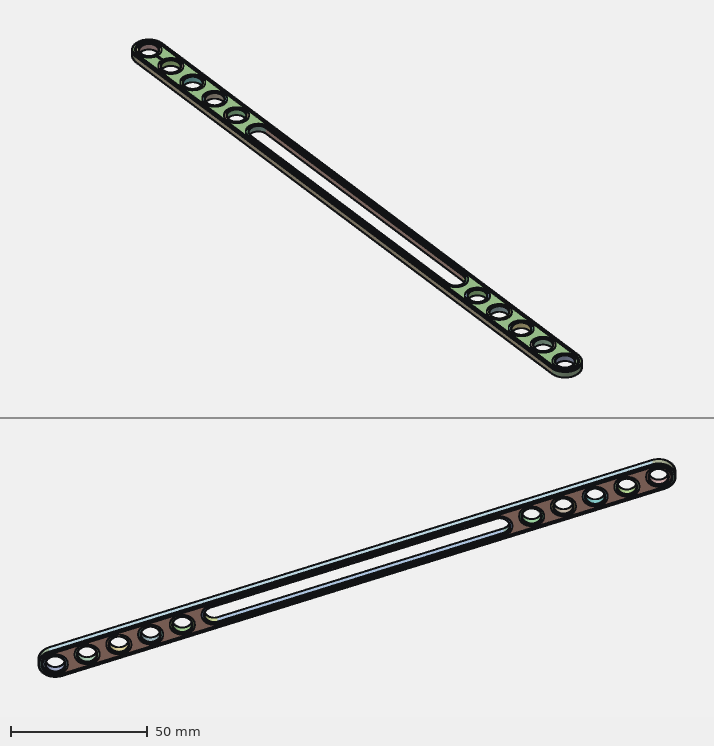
import cadquery as cq

length = 250.0
width = 12.5
thickness = width / 4
edge_chamfer = 0.3

hole_diameter = 7.0
ring_diameter = 9.2
hole_pitch = width
holes_per_end = 5
outer_hole_x = (length - width) / 2

slot_end_x = outer_hole_x - holes_per_end * hole_pitch

border_width = 1.1
recess_depth = 0.2

groove_width = 0.5
groove_depth = 0.12
groove_length = hole_pitch - ring_diameter

hole_centres = [
    (side * (outer_hole_x - index * hole_pitch), 0)
    for side in (-1, 1)
    for index in range(holes_per_end)
]


def round_ended_plate(end_centre_x, plate_width, height):
    """Round-ended plate about the origin, its ends centred at plus and minus end_centre_x."""
    outline = cq.Workplane("XY").slot2D(2 * end_centre_x + plate_width, plate_width)
    return outline.extrude(height / 2, both=True)


def opening_solids(opening_width):
    """Full-height discs on all hole centres together with the central slot, all equally wide."""
    discs = cq.Workplane("XY").pushPoints(hole_centres).circle(opening_width / 2)
    slot = round_ended_plate(slot_end_x, opening_width, thickness)
    return discs.extrude(thickness / 2, both=True).union(slot)


def chamfered_blank():
    """Full-height bar with its openings, chamfered along every rim on both faces."""
    bar = round_ended_plate(outer_hole_x, width, thickness)
    bar = bar.cut(opening_solids(hole_diameter))
    return bar.faces("|Z").edges().chamfer(edge_chamfer)


def recesses():
    """Material removed from both faces between the border and the rings."""
    inside_border = round_ended_plate(outer_hole_x, width - 2 * border_width, thickness)
    web = round_ended_plate(outer_hole_x, width, thickness - 2 * recess_depth)
    return inside_border.cut(web).cut(opening_solids(ring_diameter))


def index_groove():
    """Material removed by the groove midway between the two leftmost holes."""
    web_top = thickness / 2 - recess_depth
    profile = cq.Workplane("XY", origin=(hole_pitch / 2 - outer_hole_x, 0, web_top))
    return profile.rect(groove_length, groove_width).extrude(-groove_depth)


result = chamfered_blank().cut(recesses()).cut(index_groove())